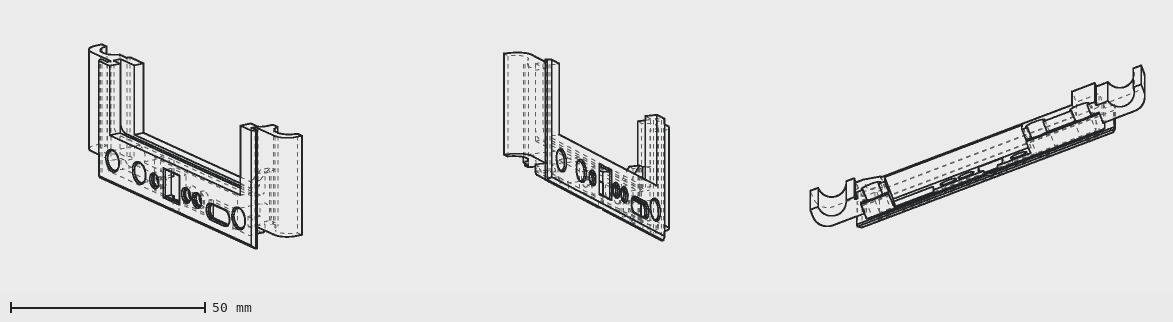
import cadquery as cq
import math

LENGTH = 91.3
DEPTH = 8.4
HEIGHT = 32.0

PLATE_HALF = 35.5
PLATE_THICK = 1.4
PLATE_BEVEL = 0.8

BODY_HALF = 32.9
BODY_BOTTOM = 2.6
BODY_CORNER_RADIUS = 1.1
REAR_BOTTOM = 5.1

OPENING_LEFT = -29.9
OPENING_RIGHT = 29.8
OPENING_FLOOR = 13.15

GROOVE_FRONT = 3.3
GROOVE_REAR = 5.5
GROOVE_FLOOR = 12.4
GROOVE_RADIUS = 2.5

REAR_RIGHT = 33.1
POST_RIGHT = -26.6
TAB_LEFT = 26.2
TAB_LOW = 14.6
TAB_RAMP = 4.75
TAB_TOP = TAB_LOW + TAB_RAMP

WING_FRONT = 2.5
WING_REAR = 7.4
HOOK_OUTER_RADIUS = 4.0
HOOK_BORE_RADIUS = 3.7
HOOK_LIP = 2.2
RIGHT_WING_END = 33.9
RIGHT_WING_BEND = 5.5
BRIDGE_REAR = 6.8

HOLE_BEVEL = 0.4
BIG_DIAMETER = 5.2
BIG_HOLE_XS = (-28.6, -16.4, 28.9)
BIG_HOLE_Z = 6.6
SMALL_DIAMETER = 3.3
SMALL_HOLE_XS = (-9.5, 5.0, 9.95)
SMALL_HOLE_Z = 6.3
WINDOW_LEFT = -5.0
WINDOW_RIGHT = 1.6
WINDOW_BOTTOM = 3.3
WINDOW_TOP = 10.6
OBLONG_LENGTH = 9.8
OBLONG_HEIGHT = 3.8
OBLONG_X = 19.5
OBLONG_Z = 5.0

WEB_THICK = 0.9
RELIEF_DIAMETER = 4.3
RELIEF_MARGIN = 0.55

POCKET_FRONT = 2.3
POCKET_LEFT = -12.8
POCKET_RIGHT = 25.1
POCKET_TOP = 11.3
NOTCH_DIAMETER = 4.3


def block(x0, x1, y0, y1, z0, z1):
    return cq.Workplane("XY").box(x1 - x0, y1 - y0, z1 - z0, centered=False).translate((x0, y0, z0))


def front_plate():
    plate = block(-PLATE_HALF, PLATE_HALF, 0, PLATE_THICK, 0, HEIGHT)
    front = plate.faces("<Y")
    return front.edges("<X or >X or <Z").chamfer(PLATE_BEVEL)


def body():
    core = block(-BODY_HALF, BODY_HALF, PLATE_THICK, GROOVE_REAR, BODY_BOTTOM, HEIGHT)
    return core.faces("<Z").edges("|Y").fillet(BODY_CORNER_RADIUS)


def rear_wall():
    return (
        cq.Workplane("XZ", origin=(0, DEPTH, 0))
        .moveTo(-BODY_HALF, REAR_BOTTOM)
        .lineTo(REAR_RIGHT, REAR_BOTTOM)
        .lineTo(REAR_RIGHT, TAB_TOP)
        .lineTo(TAB_LEFT + TAB_RAMP, TAB_TOP)
        .lineTo(TAB_LEFT, TAB_LOW)
        .lineTo(TAB_LEFT, OPENING_FLOOR)
        .lineTo(POST_RIGHT, OPENING_FLOOR)
        .lineTo(POST_RIGHT, HEIGHT)
        .lineTo(-BODY_HALF, HEIGHT)
        .close()
        .extrude(DEPTH - GROOVE_REAR)
    )


def hook_profile():
    """Open outline of the left wing, from its inner front corner round the hook to the end of the bore."""
    outer = -LENGTH / 2
    bore_x = outer + HOOK_LIP + HOOK_BORE_RADIUS
    bore_exit = math.sqrt(HOOK_BORE_RADIUS**2 - (DEPTH - WING_REAR) ** 2)
    return (
        cq.Workplane("XY", origin=(0, 0, REAR_BOTTOM))
        .moveTo(-BODY_HALF, WING_FRONT)
        .lineTo(outer + HOOK_OUTER_RADIUS, WING_FRONT)
        .radiusArc((outer, WING_FRONT + HOOK_OUTER_RADIUS), HOOK_OUTER_RADIUS)
        .lineTo(outer, DEPTH)
        .lineTo(outer + HOOK_LIP, DEPTH)
        .threePointArc((bore_x, DEPTH - HOOK_BORE_RADIUS), (bore_x + bore_exit, WING_REAR))
    )


def left_wing():
    return hook_profile().lineTo(-BODY_HALF, WING_REAR).close().extrude(HEIGHT - REAR_BOTTOM)


def right_wing():
    wing = (
        hook_profile()
        .lineTo(-RIGHT_WING_END, WING_REAR)
        .lineTo(-RIGHT_WING_END, RIGHT_WING_BEND)
        .tangentArcPoint((-BODY_HALF, GROOVE_FRONT), relative=False)
        .close()
        .extrude(HEIGHT - REAR_BOTTOM)
        .mirror("YZ")
    )
    bridge = block(BODY_HALF, RIGHT_WING_END, GROOVE_FRONT, BRIDGE_REAR, REAR_BOTTOM, TAB_TOP)
    return wing.union(bridge)


def opening():
    return block(OPENING_LEFT, OPENING_RIGHT, 0, GROOVE_REAR, OPENING_FLOOR, HEIGHT)


def panel_groove():
    groove = block(-BODY_HALF, BODY_HALF, GROOVE_FRONT, GROOVE_REAR, GROOVE_FLOOR, HEIGHT)
    return groove.faces("<Z").edges("|Y").fillet(GROOVE_RADIUS)


def rear_pocket():
    pocket = block(POCKET_LEFT, POCKET_RIGHT, POCKET_FRONT, DEPTH, 0, POCKET_TOP)
    notch = (
        cq.Workplane("XY")
        .center((WINDOW_LEFT + WINDOW_RIGHT) / 2, WEB_THICK + NOTCH_DIAMETER / 2)
        .circle(NOTCH_DIAMETER / 2)
        .extrude((WINDOW_BOTTOM + WINDOW_TOP) / 2)
    )
    return pocket.union(notch)


def front_cut(draw):
    """Bevelled through cut along Y; draw(plane, growth) adds its outline, enlarged all round by growth."""
    through = draw(cq.Workplane("XZ"), 0).extrude(-DEPTH)
    mouth_inner = draw(cq.Workplane("XZ", origin=(0, HOLE_BEVEL, 0)), 0)
    mouth_front = mouth_inner.workplane(offset=HOLE_BEVEL, origin=(0, 0, 0))
    mouth = draw(mouth_front, HOLE_BEVEL).loft(ruled=True)
    return through.union(mouth)


def round_hole(x, z, diameter):
    return front_cut(lambda plane, growth: plane.pushPoints([(x, z)]).circle(diameter / 2 + growth))


def window():
    x = (WINDOW_LEFT + WINDOW_RIGHT) / 2
    z = (WINDOW_BOTTOM + WINDOW_TOP) / 2
    width = WINDOW_RIGHT - WINDOW_LEFT
    height = WINDOW_TOP - WINDOW_BOTTOM
    return front_cut(
        lambda plane, growth: plane.pushPoints([(x, z)]).rect(width + 2 * growth, height + 2 * growth)
    )


def small_hole_relief(x):
    plane = cq.Workplane("XZ", origin=(0, WEB_THICK, 0))
    return plane.center(x, SMALL_HOLE_Z).circle(RELIEF_DIAMETER / 2).extrude(WEB_THICK - POCKET_FRONT)


def oblong():
    return front_cut(
        lambda plane, growth: plane.pushPoints([(OBLONG_X, OBLONG_Z)]).slot2D(
            OBLONG_LENGTH + 2 * growth, OBLONG_HEIGHT + 2 * growth
        )
    )


def oblong_relief():
    half_length = OBLONG_LENGTH / 2 + RELIEF_MARGIN
    half_height = OBLONG_HEIGHT / 2 + RELIEF_MARGIN
    return block(
        OBLONG_X - half_length,
        OBLONG_X + half_length,
        WEB_THICK,
        POCKET_FRONT,
        OBLONG_Z - half_height,
        OBLONG_Z + half_height,
    )


result = front_plate().union(body())
result = result.cut(opening()).cut(panel_groove())
for piece in (rear_wall(), left_wing(), right_wing()):
    result = result.union(piece)

result = result.cut(rear_pocket())
for x in BIG_HOLE_XS:
    result = result.cut(round_hole(x, BIG_HOLE_Z, BIG_DIAMETER))
for x in SMALL_HOLE_XS:
    result = result.cut(round_hole(x, SMALL_HOLE_Z, SMALL_DIAMETER))
    result = result.cut(small_hole_relief(x))
result = result.cut(window()).cut(oblong()).cut(oblong_relief())